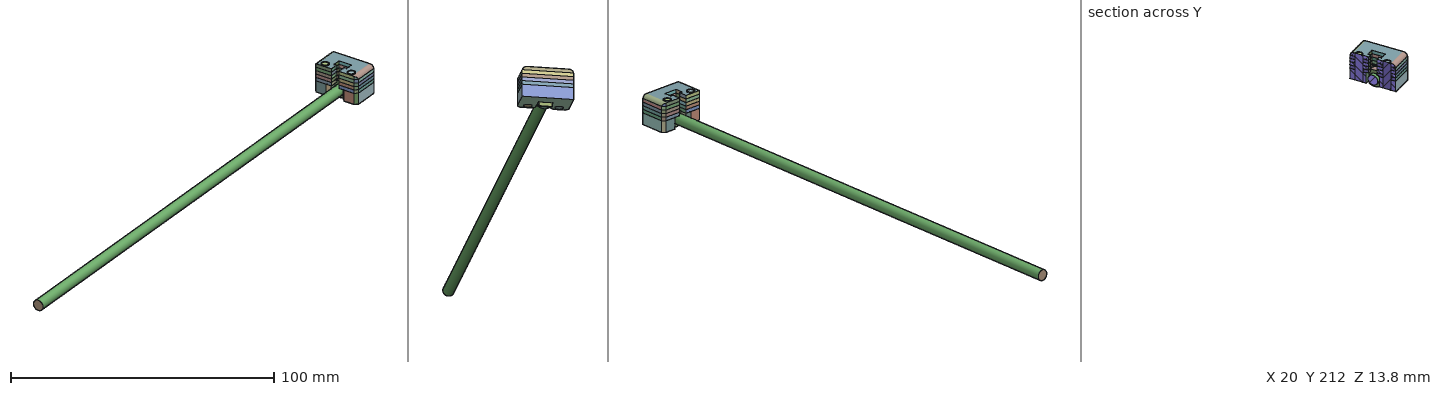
import cadquery as cq

overall_length = 212.0
block_width = 20.0
block_depth = 11.7
overall_height = 13.8

rod_diameter = 4.5
head_diameter = 7.5
head_height = 7.6
head_overhang = 1.5
head_width = 5.0
head_end_thickness = 0.6
head_thickness = 3.2
head_back_y = -4.9
head_front_y = head_back_y - head_thickness

thin_plate_count = 5
thin_plate_thickness = 1.5
head_bottom_z = -head_height / 2
stack_top_z = head_bottom_z + overall_height
base_top_z = stack_top_z - thin_plate_count * thin_plate_thickness
base_bottom_z = head_bottom_z + head_overhang

top_round = 2.0
front_chamfer = 1.3

wide_slot_width = 5.7
slot_mouth_chamfer = 1.3
neck_slot_width = 3.4

pin_diameter = 3.2
pin_chamfer = 0.32
pin_spacing = 12.0
pin_from_front = 2.1
pin_y = -block_depth + pin_from_front
pin_places = [(-pin_spacing / 2, pin_y), (pin_spacing / 2, pin_y)]


def box_between(width, y_front, y_back, z_bottom, z_top):
    """Box centred on X = 0 between the given Y and Z limits."""
    return (
        cq.Workplane("XY", origin=(0, y_front, z_bottom))
        .box(width, y_back - y_front, z_top - z_bottom, centered=(True, False, False))
    )


def cylinder_along_y(diameter, y_front, y_back):
    """Cylinder on the rod axis between the given Y limits."""
    return (
        cq.Workplane("XZ", origin=(0, y_back, 0))
        .circle(diameter / 2)
        .extrude(y_back - y_front)
    )


def pin_cylinder(x, y):
    """Round bar through the whole stack, used for a pin and for its hole."""
    return (
        cq.Workplane("XY", origin=(x, y, base_bottom_z))
        .circle(pin_diameter / 2)
        .extrude(stack_top_z - base_bottom_z)
    )


def make_pin(x, y):
    """Pin flush with both ends of its hole, with a chamfered top edge."""
    return pin_cylinder(x, y).faces(">Z").chamfer(pin_chamfer)


def make_rod():
    """Long rod with a flat-sided head, closed at the back by a thin rectangular end."""
    shaft = cylinder_along_y(rod_diameter, -overall_length, head_back_y)
    half_height = head_height / 2
    flat_sides = box_between(head_width, head_front_y, head_back_y, -half_height, half_height)
    head = cylinder_along_y(head_diameter, head_front_y, head_back_y).intersect(flat_sides)
    end_front_y = head_back_y - head_end_thickness
    end = box_between(head_width, end_front_y, head_back_y, -half_height, half_height)
    return shaft.union(head).union(end)


def make_stack_blank():
    """Outer shape of the whole stack, with the pin holes."""
    block = box_between(block_width, -block_depth, 0, base_bottom_z, stack_top_z)
    chamfered = block.edges("|Z and <Y").chamfer(front_chamfer)
    rounded = block.edges("|Y and >Z").fillet(top_round)
    blank = chamfered.intersect(rounded)
    for x, y in pin_places:
        blank = blank.cut(pin_cylinder(x, y))
    return blank


def make_base_plate(blank):
    """Thick bottom plate with a straight slot for the rod and its head."""
    base = blank.intersect(box_between(block_width, -block_depth, 0, base_bottom_z, base_top_z))
    slot = box_between(wide_slot_width, -block_depth, head_back_y, base_bottom_z, base_top_z)
    half_slot = wide_slot_width / 2
    half_mouth = half_slot + slot_mouth_chamfer
    mouth = (
        cq.Workplane("XY", origin=(0, 0, base_bottom_z))
        .polyline([
            (-half_mouth, -block_depth),
            (half_mouth, -block_depth),
            (half_slot, -block_depth + slot_mouth_chamfer),
            (-half_slot, -block_depth + slot_mouth_chamfer),
        ])
        .close()
        .extrude(base_top_z - base_bottom_z)
    )
    return base.cut(slot).cut(mouth)


def make_thin_plate(blank, index):
    """Thin plate with a T-shaped slot, counted upward from the base plate."""
    bottom_z = base_top_z + index * thin_plate_thickness
    top_z = bottom_z + thin_plate_thickness
    plate = blank.intersect(box_between(block_width, -block_depth, 0, bottom_z, top_z))
    neck = box_between(neck_slot_width, -block_depth, head_back_y, bottom_z, top_z)
    opening = box_between(wide_slot_width, head_front_y, head_back_y, bottom_z, top_z)
    return plate.cut(neck).cut(opening)


stack_blank = make_stack_blank()
rod = make_rod()
base_plate = make_base_plate(stack_blank)
thin_plates = [make_thin_plate(stack_blank, index) for index in range(thin_plate_count)]
pins = [make_pin(x, y) for x, y in pin_places]

result = cq.Compound.makeCompound(
    [
        rod.val(),
        base_plate.val(),
        *[plate.val() for plate in thin_plates],
        *[pin.val() for pin in pins],
    ]
)